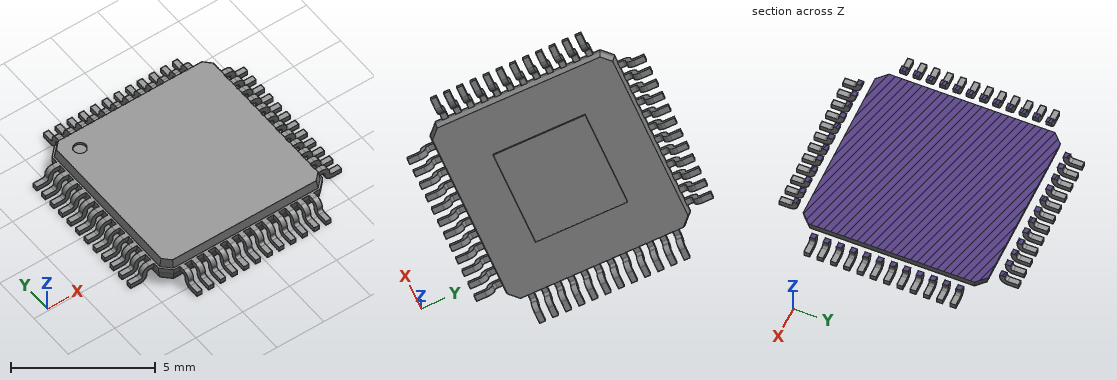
import cadquery as cq
import math

package_span = 9.0
package_height = 1.0
standoff = 0.1

body_width = 7.0
corner_chamfer = 0.375
upper_step = 0.075
draft_angle = 12.0

pad_width = 3.5

mark_diameter = 0.5
mark_depth = 0.1
mark_offset = 2.65

leads_per_side = 12
lead_pitch = 0.5
lead_width = 0.22
lead_thickness = 0.2
inner_radius = 0.1
foot_length = 0.4
lead_embed = 0.1

outer_radius = inner_radius + lead_thickness
lead_top = (standoff + package_height + lead_thickness) / 2
lead_underside = lead_top - lead_thickness
band_half = body_width / 2


def body_section(inset, height, depth, taper):
    """Chamfered square layer extruded from one height over a signed depth, narrowing at the taper angle."""
    width = body_width - 2 * inset
    leg = corner_chamfer - inset * (2 - math.sqrt(2))
    half = width / 2
    short = half - leg
    outline = [
        (half, -short), (half, short), (short, half), (-short, half),
        (-half, short), (-half, -short), (-short, -half), (short, -half),
    ]
    return cq.Workplane("XY").workplane(offset=height).polyline(outline).close().extrude(depth, taper=taper)


def make_body():
    band = body_section(0, lead_underside, lead_thickness, 0)
    upper = body_section(upper_step, lead_top, package_height - lead_top, draft_angle)
    lower = body_section(0, lead_underside, standoff - lead_underside, draft_angle)
    return band.union(upper).union(lower)


def make_pad():
    """Exposed square pad that fills the standoff under the body."""
    return cq.Workplane("XY").rect(pad_width, pad_width).extrude(standoff)


def cut_pin_mark(body):
    mark = (
        cq.Workplane("XY")
        .workplane(offset=package_height - mark_depth)
        .center(-mark_offset, mark_offset)
        .circle(mark_diameter / 2)
        .extrude(mark_depth)
    )
    return body.cut(mark)


def make_lead():
    """One lead on the +X side, centred on the XZ plane."""
    tip = package_span / 2
    foot_start = tip - foot_length
    shank_outer = foot_start - inner_radius
    shank_inner = shank_outer - lead_thickness
    shoulder_end = shank_outer - outer_radius
    root = band_half - lead_embed
    diagonal = math.sqrt(0.5)
    upper_center = (shoulder_end, lead_top - outer_radius)
    lower_center = (foot_start, outer_radius)

    def on_upper_bend(radius):
        return (upper_center[0] + radius * diagonal, upper_center[1] + radius * diagonal)

    def on_lower_bend(radius):
        return (lower_center[0] - radius * diagonal, lower_center[1] - radius * diagonal)

    return (
        cq.Workplane("XZ")
        .moveTo(root, lead_top)
        .lineTo(shoulder_end, lead_top)
        .threePointArc(on_upper_bend(outer_radius), (shank_outer, upper_center[1]))
        .lineTo(shank_outer, lower_center[1])
        .threePointArc(on_lower_bend(inner_radius), (foot_start, lead_thickness))
        .lineTo(tip, lead_thickness)
        .lineTo(tip, 0)
        .lineTo(foot_start, 0)
        .threePointArc(on_lower_bend(outer_radius), (shank_inner, lower_center[1]))
        .lineTo(shank_inner, upper_center[1])
        .threePointArc(on_upper_bend(inner_radius), (shoulder_end, lead_underside))
        .lineTo(root, lead_underside)
        .close()
        .extrude(lead_width / 2, both=True)
    )


def make_all_leads():
    lead = make_lead()
    first = -lead_pitch * (leads_per_side - 1) / 2
    leads = cq.Workplane("XY")
    for side in range(4):
        for i in range(leads_per_side):
            placed = lead.translate((0, first + i * lead_pitch, 0))
            leads = leads.add(placed.rotate((0, 0, 0), (0, 0, 1), side * 90))
    return cq.Workplane(cq.Compound.makeCompound(leads.vals()))


body = cut_pin_mark(make_body()).union(make_pad())
result = body.union(make_all_leads())